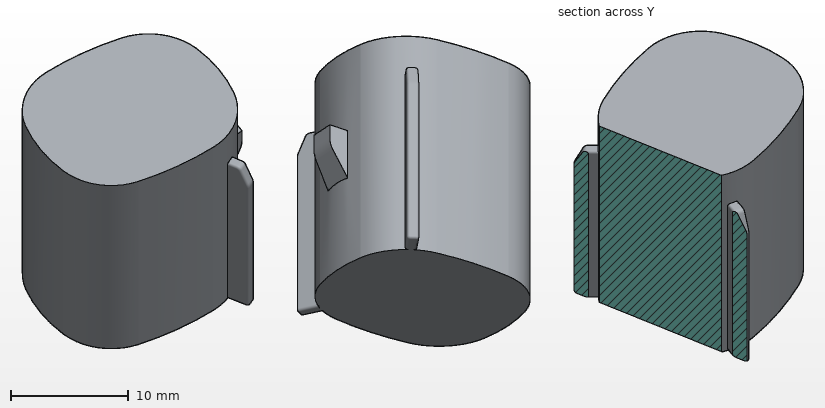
import cadquery as cq
import math

height = 20.5
overall_depth = 19.37
body_width = 15.38
body_depth = 17.77
corner_radius = 5.75
corner_centre_x = 1.75
corner_centre_y = 2.95

rib_thickness = 1.0
rib_height = 16.97
rib_angle = 30.0
rib_origin_y = 2.05
rib_start = 6.15
rib_reach = 9.75
rib_slope_inset = 0.88
rib_slope_drop = 1.93
rib_shoulder_radius = 1.02
rib_crest_radius = 0.51
rib_edge_radius = 0.25

tooth_base_y = body_depth / 2
tooth_tip_y = overall_depth - body_depth / 2
tooth_root_y = 7.8
tooth_tip_width = 2.38
tooth_base_width = 2.87
tooth_top_z = 12.95
tooth_top_base_z = 12.8
tooth_ramp_tip_z = 11.13
tooth_ramp_base_z = 8.36
tooth_ramp_radius = 2.0


def make_body():
    """Outline of eight tangent arcs: four bulged faces joined by four equal corners."""
    half_width = body_width / 2
    half_depth = body_depth / 2

    side_half_angle = 2 * math.atan((half_width - corner_radius - corner_centre_x) / corner_centre_y)
    end_half_angle = 2 * math.atan((half_depth - corner_radius - corner_centre_y) / corner_centre_x)

    def corner_point(angle):
        """Point on the +X +Y corner arc, with the angle measured from the X axis."""
        return (
            corner_centre_x + corner_radius * math.cos(angle),
            corner_centre_y + corner_radius * math.sin(angle),
        )

    side_x, side_y = corner_point(side_half_angle)
    end_x, end_y = corner_point(math.pi / 2 - end_half_angle)
    middle_x, middle_y = corner_point(math.pi / 4)

    return (
        cq.Workplane("XY")
        .moveTo(side_x, -side_y)
        .threePointArc((half_width, 0), (side_x, side_y))
        .threePointArc((middle_x, middle_y), (end_x, end_y))
        .threePointArc((0, half_depth), (-end_x, end_y))
        .threePointArc((-middle_x, middle_y), (-side_x, side_y))
        .threePointArc((-half_width, 0), (-side_x, -side_y))
        .threePointArc((-middle_x, -middle_y), (-end_x, -end_y))
        .threePointArc((0, -half_depth), (end_x, -end_y))
        .threePointArc((middle_x, -middle_y), (side_x, -side_y))
        .close()
        .extrude(height)
    )


def make_rib():
    """Rib on the +X side, drawn along X and then turned to its angle."""
    rib = (
        cq.Workplane("XZ")
        .moveTo(rib_start, 0)
        .lineTo(rib_reach, 0)
        .lineTo(rib_reach, rib_height - rib_slope_drop)
        .lineTo(rib_reach - rib_slope_inset, rib_height)
        .lineTo(rib_start, rib_height)
        .close()
        .extrude(rib_thickness / 2, both=True)
    )
    rib = rib.faces(">X").edges(">Z").fillet(rib_shoulder_radius)
    rib = rib.faces(">Z").edges(">X").fillet(rib_crest_radius)
    rib = rib.edges("not <X").fillet(rib_edge_radius)
    return rib.rotate((0, 0, 0), (0, 0, 1), rib_angle).translate((0, rib_origin_y, 0))


def make_tooth():
    """Side profile of the hook, trimmed to the plan outline that narrows toward the tip."""
    slope_scale = (tooth_root_y - tooth_base_y) / (tooth_tip_y - tooth_base_y)

    def at_root(base, tip):
        """Extend a straight line through its base and tip values inward to the buried root."""
        return base + (tip - base) * slope_scale

    half_root_width = at_root(tooth_base_width, tooth_tip_width) / 2
    half_tip_width = tooth_tip_width / 2
    hook = (
        cq.Workplane("YZ")
        .moveTo(tooth_root_y, at_root(tooth_ramp_base_z, tooth_ramp_tip_z))
        .lineTo(tooth_tip_y, tooth_ramp_tip_z)
        .lineTo(tooth_tip_y, tooth_top_z)
        .lineTo(tooth_root_y, at_root(tooth_top_base_z, tooth_top_z))
        .close()
        .extrude(half_root_width, both=True)
    )
    hook = hook.faces(">Y").edges("<Z").fillet(tooth_ramp_radius)
    plan = (
        cq.Workplane("XY")
        .moveTo(-half_root_width, tooth_root_y)
        .lineTo(-half_tip_width, tooth_tip_y)
        .lineTo(half_tip_width, tooth_tip_y)
        .lineTo(half_root_width, tooth_root_y)
        .close()
        .extrude(height)
    )
    return hook.intersect(plan)


right_rib = make_rib()
left_rib = right_rib.mirror("YZ")
result = make_body().union(right_rib).union(left_rib).union(make_tooth())